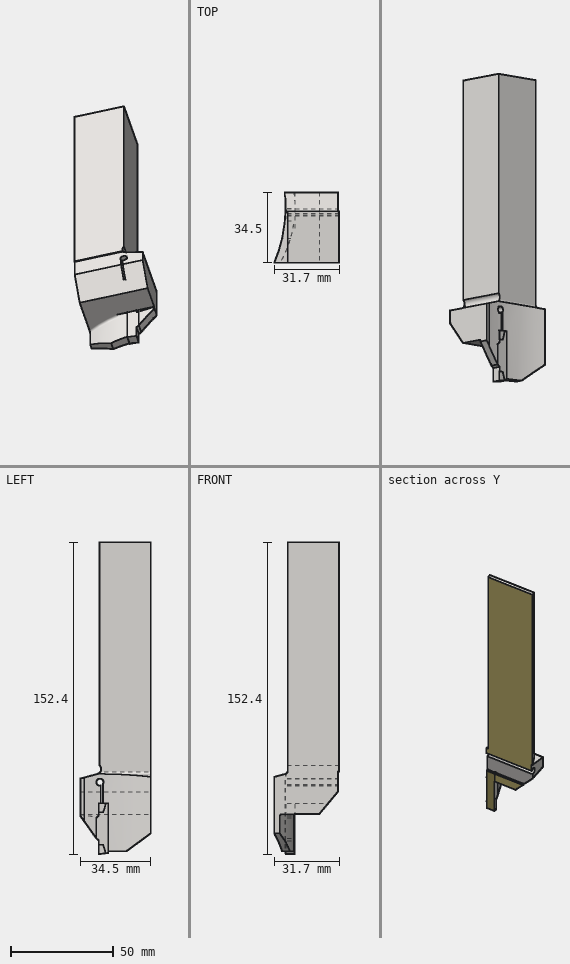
import cadquery as cq
import math


width = 31.7
depth = 34.5
height = 152.4

shank_size = 25.1
shank_left = width - shank_size

shoulder_angle = math.radians(15)
shoulder_z = 39.2
shank_fillet_top = 40.5
shank_fillet_width = 1.5
head_right = 31.2
head_right_top = 40.4
head_chamfer_top = 30.6
head_chamfer_x = 22.1
head_bottom = 19.7

blade_bottom = 1.4
front_chamfer_top = 10.2
front_chamfer_y = 12.0
back_chamfer_top = 18.7
neck_radius = 2.5
neck_y = 26.75
neck_z = 41.6

blade_apex_y = 27.5
blade_left_apex = 5.56
blade_right = 10.0
blade_front_thickness = 2.7
blade_root_fillet = 1.2
back_flat_x = 5.2
back_flat_y = 32.6

insert_left = 5.5
insert_front = 20.7
insert_neck_y = 25.5
insert_back = 26.7
insert_top = 25.0
waist_bottom = 7.8
waist_top = 17.8
waist_slope_height = 1.0
edge_rise = 0.6
relief_depth = 0.2
relief_length = 4.5
relief_flat_y = 23.3
relief_end_y = 22.0
relief_bulge_y = 22.5

slit_front = 23.5
slit_width = 0.9
slit_hole_y = 24.8
slit_hole_z = 35.2
slit_hole_radius = 1.7


def arc_radius(drop):
    """Radius of an arc that falls by drop between the blade apex and Y = 0."""
    return (blade_apex_y ** 2 + drop ** 2) / (2 * drop)


def upright_cylinder(apex_x, radius):
    """Full-height cylinder whose rightmost line is at apex_x."""
    return (
        cq.Workplane("XY")
        .center(apex_x - radius, blade_apex_y)
        .circle(radius)
        .extrude(height)
    )


def block(x0, x1, y0, y1, z0, z1):
    return cq.Workplane("XY").box(x1 - x0, y1 - y0, z1 - z0, centered=False).translate((x0, y0, z0))


def front_outline():
    """Shank, sloped shoulder and chamfered head, extruded through the full depth."""
    fillet_x = shank_left - shank_fillet_width
    bend = math.sqrt(0.5)
    fillet_mid = (
        shank_left - shank_fillet_width * (1 - bend),
        shank_fillet_top - (shank_fillet_top - shoulder_z) * bend,
    )
    return (
        cq.Workplane("XZ")
        .moveTo(0, 0)
        .lineTo(0, shoulder_z - fillet_x * math.tan(shoulder_angle))
        .lineTo(fillet_x, shoulder_z)
        .threePointArc(fillet_mid, (shank_left, shank_fillet_top))
        .lineTo(shank_left, height)
        .lineTo(width, height)
        .lineTo(width, head_right_top)
        .lineTo(head_right, head_right_top)
        .lineTo(head_right, head_chamfer_top)
        .lineTo(head_chamfer_x, head_bottom)
        .lineTo(blade_right, head_bottom)
        .lineTo(blade_right, 0)
        .close()
        .extrude(-depth)
    )


def side_outline():
    """Outline in Y and Z, with the round neck relief behind the shank."""
    neck_top = neck_z + math.sqrt(neck_radius ** 2 - (neck_y - shank_size) ** 2)
    slope_y = neck_y - neck_radius * math.sin(shoulder_angle)
    slope_z = neck_z - neck_radius * math.cos(shoulder_angle)
    return (
        cq.Workplane("YZ")
        .moveTo(0, height)
        .lineTo(shank_size, height)
        .lineTo(shank_size, neck_top)
        .threePointArc((neck_y - neck_radius, neck_z), (slope_y, slope_z))
        .lineTo(depth, slope_z - (depth - slope_y) * math.tan(shoulder_angle))
        .lineTo(depth, back_chamfer_top)
        .lineTo(insert_back, waist_bottom)
        .lineTo(insert_front, blade_bottom)
        .lineTo(front_chamfer_y, blade_bottom)
        .lineTo(0, front_chamfer_top)
        .close()
        .extrude(width)
    )


def left_face_cutter():
    """Hollow curve of the left face, ending in a flat at the back."""
    curve = upright_cylinder(blade_left_apex, arc_radius(blade_left_apex))
    curve = curve.intersect(block(-width, width, 0, back_flat_y, 0, height))
    flat = block(-width, back_flat_x, back_flat_y, depth, 0, height)
    return curve.union(flat)


def blade_relief():
    """Space to the right of the blade, under the head, with a rounded root."""
    radius = arc_radius(blade_right - blade_front_thickness)
    space = block(0, width, 0, depth, 0, head_bottom)
    space = space.cut(upright_cylinder(blade_right, radius))
    center = (blade_right - radius, blade_apex_y)
    root_z = head_bottom - blade_root_fillet
    bend = blade_root_fillet * (1 - math.sqrt(0.5))
    root = (
        cq.Workplane("XZ", origin=(center[0], center[1], 0))
        .moveTo(radius - blade_root_fillet, head_bottom)
        .lineTo(radius - blade_root_fillet, root_z)
        .lineTo(radius, root_z)
        .threePointArc(
            (radius + bend, head_bottom - bend),
            (radius + blade_root_fillet, head_bottom),
        )
        .close()
        .revolve(360, (0, 0, 0), (0, 1, 0))
    )
    return space.cut(root)


def insert_prism(left_x):
    """Insert outline with a wide waist, from left_x to the right face of the blade."""
    return (
        cq.Workplane("YZ", origin=(left_x, 0, 0))
        .moveTo(insert_front, edge_rise)
        .lineTo(insert_neck_y, 0)
        .lineTo(insert_neck_y, waist_bottom - waist_slope_height)
        .lineTo(insert_back, waist_bottom)
        .lineTo(insert_back, waist_top)
        .lineTo(insert_neck_y, waist_top + waist_slope_height)
        .lineTo(insert_neck_y, insert_top)
        .lineTo(insert_front, insert_top)
        .close()
        .extrude(blade_right - left_x)
    )


def insert_relief(end_z, direction):
    """Shallow side relief at one end; direction points along Z into the insert."""
    inner_z = end_z + direction * relief_length
    return (
        cq.Workplane("YZ", origin=(insert_left, 0, 0))
        .moveTo(insert_neck_y, end_z)
        .lineTo(insert_neck_y, inner_z)
        .lineTo(relief_flat_y, inner_z)
        .threePointArc(
            (relief_bulge_y, end_z + direction * relief_length / 2),
            (relief_end_y, end_z),
        )
        .close()
        .extrude(relief_depth)
    )


def clamping_slit():
    """Slit from the insert seat to a round hole, through the head."""
    hole = (
        cq.Workplane("YZ")
        .center(slit_hole_y, slit_hole_z)
        .circle(slit_hole_radius)
        .extrude(width)
    )
    slit = block(0, width, slit_front, slit_front + slit_width, insert_top, slit_hole_z)
    return hole.union(slit)


def insert_seat():
    """Pocket for the insert, open on the left and clear of everything below it."""
    lower_opening = block(0, blade_right, insert_front, insert_back, 0, waist_bottom)
    return insert_prism(0).union(lower_opening)


def make_holder():
    body = front_outline().intersect(side_outline())
    body = body.cut(left_face_cutter())
    body = body.cut(blade_relief())
    body = body.cut(clamping_slit())
    return body.cut(insert_seat())


def make_insert():
    body = insert_prism(insert_left)
    for end_z, direction in ((0, 1), (insert_top, -1)):
        body = body.cut(insert_relief(end_z, direction))
    return body


holder = make_holder()
cutting_insert = make_insert()
result = cq.Compound.makeCompound([holder.val(), cutting_insert.val()])